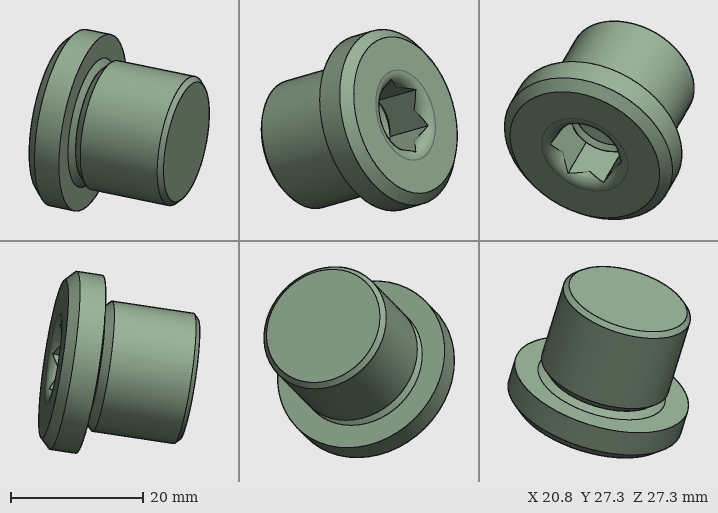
import cadquery as cq
import math

length = 20.8
head_radius = 13.65
head_thickness = 5.5
head_chamfer = 1.5
shank_radius = 10.0
tip_chamfer = 0.75
groove_depth = 1.25
groove_flank_angle = 60.0
groove_flat = 0.03
hex_across_flats = 10.0
relief_depth = 8.0
relief_angle = 90.0
drill_point_angle = 140.0
mouth_radius = 7.0

groove_radius = shank_radius - groove_depth
groove_start = head_thickness + groove_depth / math.tan(math.radians(groove_flank_angle))
groove_end = groove_start + groove_flat
hex_inradius = hex_across_flats / 2
hex_across_corners = hex_across_flats / math.cos(math.radians(30))
hex_corner_radius = hex_across_corners / 2
relief_half_width = (hex_corner_radius - hex_inradius) * math.tan(math.radians(relief_angle / 2))
relief_start = relief_depth - relief_half_width
relief_end = relief_depth + relief_half_width
drill_point_depth = hex_inradius / math.tan(math.radians(drill_point_angle / 2))
mouth_round = mouth_radius - hex_inradius


def make_body():
    """Revolve the chamfered head, V-shaped undercut and shank about X."""
    return (
        cq.Workplane("XY")
        .polyline([
            (0, 0),
            (0, head_radius - head_chamfer),
            (head_chamfer, head_radius),
            (head_thickness, head_radius),
            (head_thickness, shank_radius),
            (groove_start, groove_radius),
            (groove_end, groove_radius),
            (groove_end + groove_depth, shank_radius),
            (length - tip_chamfer, shank_radius),
            (length, shank_radius - tip_chamfer),
            (length, 0),
        ])
        .close()
        .revolve(360, (0, 0, 0), (1, 0, 0))
    )


def make_hex_socket():
    """Hexagonal prism with two corners pointing along Y, down to the relief groove crest."""
    return cq.Workplane("YZ").polygon(6, hex_across_corners).extrude(relief_depth)


def make_socket_bottom():
    """V-shaped relief groove around the end of the hexagon, closed by a drill point."""
    return (
        cq.Workplane("XY")
        .polyline([
            (relief_start, 0),
            (relief_start, hex_inradius),
            (relief_depth, hex_corner_radius),
            (relief_end, hex_inradius),
            (relief_end + drill_point_depth, 0),
        ])
        .close()
        .revolve(360, (0, 0, 0), (1, 0, 0))
    )


def make_socket_mouth():
    """Flared mouth whose convex round blends the head face into the socket."""
    diagonal = mouth_round * math.sqrt(0.5)
    return (
        cq.Workplane("XY")
        .lineTo(0, mouth_radius)
        .threePointArc(
            (mouth_round - diagonal, mouth_radius - diagonal),
            (mouth_round, hex_inradius),
        )
        .lineTo(mouth_round, 0)
        .close()
        .revolve(360, (0, 0, 0), (1, 0, 0))
    )


result = (
    make_body()
    .cut(make_hex_socket())
    .cut(make_socket_bottom())
    .cut(make_socket_mouth())
)